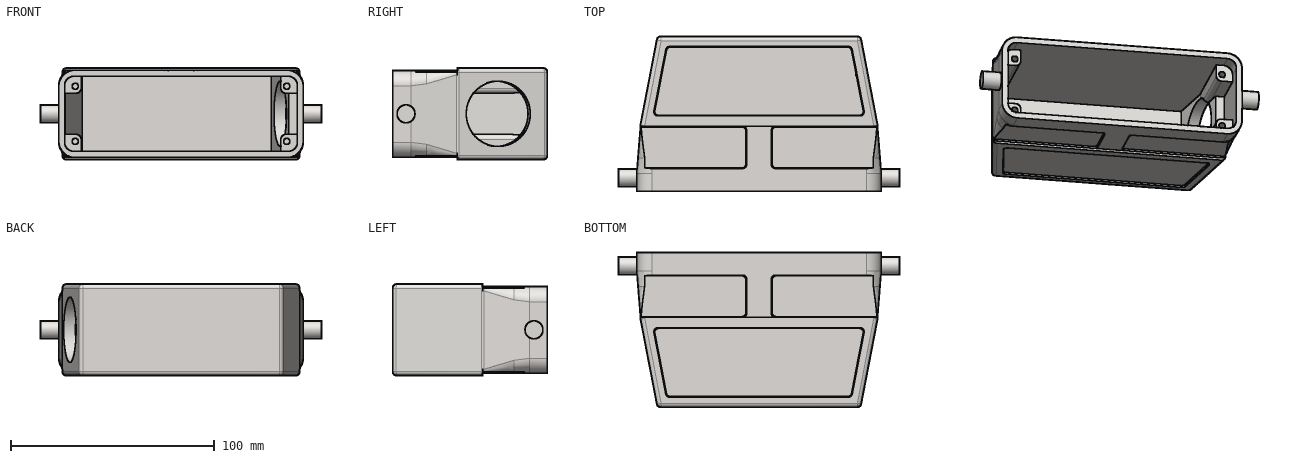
import cadquery as cq
import math

PIN_SPAN = 138.0
DEPTH = 76.0
HEIGHT = 45.0

SKIRT_WIDTH = 120.0
SKIRT_HEIGHT = 42.6
SKIRT_RADIUS = 7.5
SKIRT_DEPTH = 9.0

BLEND_Y = 16.5
BLEND_RADIUS = 6.5

LEDGE_Y = 31.9
COLLAR_START_Y = 31.3
COLLAR_END_Y = 32.5
BODY_WIDTH = 116.5
END_SLOPE = math.radians(10.9)
BODY_RADIUS = 2.1

RECESS_RADIUS = 2.1
RECESS_DRAFT = 25.0
GRIP_DEPTH = 0.8
GRIP_START_Y = 11.2
GRIP_END_Y = LEDGE_Y
GRIP_INNER_X = 6.1
PANEL_DEPTH = 0.8
PANEL_START_Y = 37.0
PANEL_END_Y = 71.1
PANEL_MARGIN = 5.4

WALL = 2.9
CAVITY_RADIUS = SKIRT_RADIUS - WALL
CAVITY_STEP_Y = 29.5
PLAIN_END_WALL = 2.1
ENTRY_END_WALL = 6.1
ENTRY_DIAMETER = 32.0

POST_START_Y = 9.2
POST_INNER_X = 49.0
POST_INNER_Z = 10.1
POST_RADIUS = 2.5
SCREW_X = 51.9
SCREW_Z = 13.5
SCREW_DIAMETER = 3.0
SCREW_DEPTH = 13.8

PIN_DIAMETER = 8.8
PIN_Y = 6.6

cavity_half_width = SKIRT_WIDTH / 2 - WALL
cavity_height = SKIRT_HEIGHT - 2 * WALL
cavity_end_y = DEPTH - WALL


def body_half_width(y):
    """Distance from the middle to the sloping body end at depth y."""
    return BODY_WIDTH / 2 - (y - COLLAR_END_Y) * math.tan(END_SLOPE)


def plane_at(y):
    """Plane across the hood at depth y, with its normal along +Y."""
    return cq.Plane(origin=(0, y, 0), xDir=(1, 0, 0), normal=(0, 1, 0))


def rounded_rectangle(width, height, radius):
    return cq.Sketch().rect(width, height).vertices().fillet(radius)


def rounded_section(y, width, height, radius):
    """Rounded rectangle placed across the hood at depth y."""
    return cq.Workplane(plane_at(y)).placeSketch(rounded_rectangle(width, height, radius))


def corner_section(y, width, radius):
    """Rounded skirt section at depth y, as a sketch measured from Y = 0."""
    return rounded_rectangle(width, SKIRT_HEIGHT, radius).moved(cq.Location(cq.Vector(0, 0, y)))


def prism_xy(points, height):
    """Prism with an outline in XY, centred on Z = 0."""
    return cq.Workplane("XY").polyline(points).close().extrude(height / 2, both=True)


def make_skirt():
    return rounded_section(0, SKIRT_WIDTH, SKIRT_HEIGHT, SKIRT_RADIUS).extrude(SKIRT_DEPTH)


def make_transition():
    """Corners sharpen from the skirt radius to the body radius, mostly near the ledge."""
    blend_share = (BLEND_Y - SKIRT_DEPTH) / (COLLAR_START_Y - SKIRT_DEPTH)
    blend_width = SKIRT_WIDTH + blend_share * (BODY_WIDTH - SKIRT_WIDTH)
    sections = [
        corner_section(SKIRT_DEPTH, SKIRT_WIDTH, SKIRT_RADIUS),
        corner_section(BLEND_Y, blend_width, BLEND_RADIUS),
        corner_section(COLLAR_START_Y, BODY_WIDTH, BODY_RADIUS),
    ]
    return cq.Workplane(plane_at(0)).placeSketch(*sections).loft(ruled=True)


def make_collar():
    """Short straight length that carries the skirt section into the ledge."""
    length = LEDGE_Y - COLLAR_START_Y
    return rounded_section(COLLAR_START_Y, BODY_WIDTH, SKIRT_HEIGHT, BODY_RADIUS).extrude(length)


def make_body():
    """Rear of the hood: straight at the ledge, then sloping ends."""
    front = body_half_width(COLLAR_END_Y)
    back = body_half_width(DEPTH)
    outline = [
        (-front, LEDGE_Y),
        (front, LEDGE_Y),
        (front, COLLAR_END_Y),
        (back, DEPTH),
        (-back, DEPTH),
        (-front, COLLAR_END_Y),
    ]
    body = prism_xy(outline, HEIGHT)
    broad_face_edges = body.faces("<Z or >Z").edges("not(<Y)")
    back_edges = body.faces(">Y").edges("|Z")
    return body.newObject(broad_face_edges.vals() + back_edges.vals()).fillet(BODY_RADIUS)


def make_cavity():
    """Straight mouth, then a chamber with ends parallel to the body ends."""
    mouth_section = rounded_section(0, 2 * cavity_half_width, cavity_height, CAVITY_RADIUS)
    mouth = mouth_section.extrude(CAVITY_STEP_Y)
    chamber = prism_xy(
        [
            (PLAIN_END_WALL - body_half_width(CAVITY_STEP_Y), CAVITY_STEP_Y),
            (body_half_width(CAVITY_STEP_Y) - ENTRY_END_WALL, CAVITY_STEP_Y),
            (body_half_width(cavity_end_y) - ENTRY_END_WALL, cavity_end_y),
            (PLAIN_END_WALL - body_half_width(cavity_end_y), cavity_end_y),
        ],
        cavity_height,
    )
    return mouth.union(chamber)


def make_posts(envelope):
    """Four corner posts, trimmed to the outer envelope of the hood."""
    width = cavity_half_width - POST_INNER_X + WALL / 2
    height = cavity_height / 2 - POST_INNER_Z + WALL / 2
    posts = cq.Workplane("XY")
    for side_x in (-1, 1):
        for side_z in (-1, 1):
            centre_x = side_x * (POST_INNER_X + width / 2)
            centre_z = side_z * (POST_INNER_Z + height / 2)
            post = (
                cq.Workplane(plane_at(POST_START_Y))
                .center(centre_x, -centre_z)
                .rect(width, height)
                .extrude(DEPTH - WALL / 2 - POST_START_Y)
                .edges("|Y")
                .edges("<X" if side_x > 0 else ">X")
                .edges("<Z" if side_z > 0 else ">Z")
                .fillet(POST_RADIUS)
            )
            posts = posts.union(post)
    return posts.intersect(envelope)


def make_screw_holes():
    return (
        cq.Workplane(plane_at(POST_START_Y))
        .rect(2 * SCREW_X, 2 * SCREW_Z, forConstruction=True)
        .vertices()
        .circle(SCREW_DIAMETER / 2)
        .extrude(SCREW_DEPTH)
    )


def make_cable_entry():
    """Round opening square to the sloping +X end."""
    centre_y = (CAVITY_STEP_Y + cavity_end_y) / 2
    centre_x = body_half_width(centre_y) - ENTRY_END_WALL / 2
    normal = (math.cos(END_SLOPE), math.sin(END_SLOPE), 0)
    plane = cq.Plane(origin=(centre_x, centre_y, 0), xDir=(0, 0, 1), normal=normal)
    bore = cq.Workplane(plane).workplane(offset=-ENTRY_END_WALL)
    return bore.circle(ENTRY_DIAMETER / 2).extrude(2 * ENTRY_END_WALL)


def make_recess(points, face_z, depth):
    """Recess with rounded corners and drafted walls, in the faces at +face_z and -face_z."""
    outline = cq.Sketch().polygon(points + points[:1]).vertices().fillet(RECESS_RADIUS)
    upper = (
        cq.Workplane("XY", origin=(0, 0, face_z))
        .placeSketch(outline)
        .extrude(-depth, taper=RECESS_DRAFT)
    )
    return upper.union(upper.mirror("XY"))


def make_grips():
    """Recesses beside the middle web, open towards the ends of the hood."""
    outer_x = SKIRT_WIDTH / 2 + RECESS_RADIUS
    points = [
        (GRIP_INNER_X, GRIP_START_Y),
        (outer_x, GRIP_START_Y),
        (outer_x, GRIP_END_Y),
        (GRIP_INNER_X, GRIP_END_Y),
    ]
    grips = make_recess(points, SKIRT_HEIGHT / 2, GRIP_DEPTH)
    return grips.union(grips.mirror("YZ"))


def make_panels():
    """Trapezoidal recess in each broad face of the body."""
    front = body_half_width(PANEL_START_Y) - PANEL_MARGIN
    back = body_half_width(PANEL_END_Y) - PANEL_MARGIN
    points = [
        (-front, PANEL_START_Y),
        (front, PANEL_START_Y),
        (back, PANEL_END_Y),
        (-back, PANEL_END_Y),
    ]
    return make_recess(points, HEIGHT / 2, PANEL_DEPTH)


def make_pins():
    pins = cq.Workplane("XY")
    length = PIN_SPAN / 2 - cavity_half_width
    for side in (-1, 1):
        pin = (
            cq.Workplane("YZ", origin=(side * cavity_half_width, PIN_Y, 0))
            .circle(PIN_DIAMETER / 2)
            .extrude(side * length)
        )
        pins = pins.union(pin)
    return pins


envelope = (
    make_skirt()
    .union(make_transition())
    .union(make_collar())
    .union(make_body())
)
result = (
    envelope.cut(make_cavity())
    .union(make_posts(envelope))
    .cut(make_screw_holes())
    .cut(make_cable_entry())
    .cut(make_grips())
    .cut(make_panels())
    .union(make_pins())
)